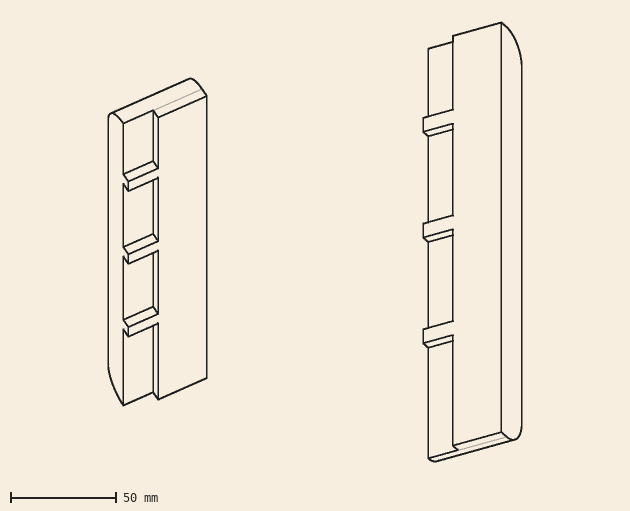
import cadquery as cq

depth = 20.0
width = 42.5
height = 224.0

body_depth = 15.0
strip_depth = depth - body_depth
step_width = 16.1
strip_width = width - step_width

rib_height = 7.6
rib_count = 3
rib_pitch = 57.8
first_rib_bottom = 60.5


def make_body():
    """Long bar whose -X corners are quarter circles spanning its whole depth."""
    profile = (
        cq.Workplane("XZ")
        .moveTo(body_depth, 0)
        .radiusArc((0, body_depth), body_depth)
        .lineTo(0, height - body_depth)
        .radiusArc((body_depth, height), body_depth)
        .close()
    )
    return profile.extrude(-width)


def make_back_strip():
    """Full-height strip on the +X face, set back from the -Y side."""
    strip = cq.Workplane("XY").box(strip_depth, strip_width, height, centered=False)
    return strip.translate((body_depth, step_width, 0))


def make_rib(bottom):
    """Short block that fills the step out to the -Y side."""
    rib = cq.Workplane("XY").box(strip_depth, step_width, rib_height, centered=False)
    return rib.translate((body_depth, 0, bottom))


result = make_body().union(make_back_strip())
for index in range(rib_count):
    result = result.union(make_rib(first_rib_bottom + index * rib_pitch))